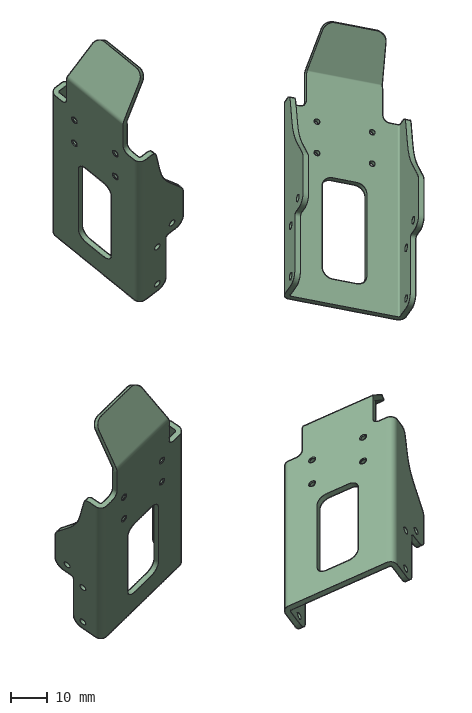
import cadquery as cq
import math

width = 35.0
flange_depth = 16.5
overall_height = 84.5
shoulder_height = 61.0
thickness = 1.6
inner_bend = 0.5
outer_bend = inner_bend + thickness

lower_depth = 10.0
step_height = 21.1
peak_height = 36.1
waist_depth = 8.6
waist_height = 46.6
shoulder_depth = 6.0
corner_radius = 3.0
step_radius = 1.0
peak_radius = 4.0
waist_radius = 20.0
shoulder_radius = 2.0
flange_hole_diameter = 2.0
flange_holes = [(6.7, 3.0), (6.7, 19.1), (12.25, 24.7)]

tab_width = 22.1
tab_root_radius = 2.0
bend_start = 72.2
bend_angle = 40.0
pad_tip_width = 17.6
pad_corner_radius = 3.0

window_width = 12.85
window_bottom = 8.0
window_height = 32.1
plate_hole_spacing = 16.0
plate_hole_heights = (47.1, 57.0)
plate_hole_diameter = 1.6
countersink_diameter = 2.1
countersink_angle = 90.0

bend_sine = math.sin(math.radians(bend_angle))
bend_cosine = math.cos(math.radians(bend_angle))
pad_start = bend_start + outer_bend * bend_sine
pad_length = (overall_height - pad_start) / bend_cosine


def rounded_corner(body, y, z, radius):
    """Round the corner running along X through the point (y, z)."""
    margin = 0.01
    box = cq.selectors.BoxSelector((-width, y - margin, z - margin), (width, y + margin, z + margin))
    return body.edges(box).fillet(radius)


def make_channel():
    """U-shaped bent sheet, trimmed to the flange outline."""
    outer = cq.Workplane("XY").rect(width, 2 * flange_depth).extrude(shoulder_height)
    outer = outer.translate((0, flange_depth, 0)).edges("|Z and <Y").fillet(outer_bend)
    inner = (
        cq.Workplane("XY")
        .rect(width - 2 * thickness, 2 * flange_depth)
        .extrude(shoulder_height)
        .translate((0, flange_depth + thickness, 0))
        .edges("|Z and <Y")
        .fillet(inner_bend)
    )
    outline = [
        (0, 0),
        (lower_depth, 0),
        (lower_depth, step_height),
        (flange_depth, step_height),
        (flange_depth, peak_height),
        (waist_depth, waist_height),
        (shoulder_depth, shoulder_height),
        (0, shoulder_height),
    ]
    side = cq.Workplane("YZ").polyline(outline).close().extrude(width / 2, both=True)
    radii = (corner_radius, step_radius, corner_radius, peak_radius, waist_radius, shoulder_radius)
    for (y, z), radius in zip(outline[1:-1], radii):
        side = rounded_corner(side, y, z, radius)
    return outer.cut(inner).intersect(side)


def make_tab():
    """Upright tab with a tapered pad bent back towards +Y."""

    def bend_point(radius, angle):
        turn = math.radians(angle)
        return outer_bend - radius * math.cos(turn), bend_start + radius * math.sin(turn)

    outer_end = bend_point(outer_bend, bend_angle)
    inner_end = bend_point(inner_bend, bend_angle)
    rise = (pad_length * bend_sine, pad_length * bend_cosine)
    sheet = (
        cq.Workplane("YZ")
        .moveTo(0, shoulder_height)
        .lineTo(0, bend_start)
        .threePointArc(bend_point(outer_bend, bend_angle / 2), outer_end)
        .lineTo(outer_end[0] + rise[0], outer_end[1] + rise[1])
        .lineTo(inner_end[0] + rise[0], inner_end[1] + rise[1])
        .lineTo(*inner_end)
        .threePointArc(bend_point(inner_bend, bend_angle / 2), (thickness, bend_start))
        .lineTo(thickness, shoulder_height)
        .close()
        .extrude(tab_width / 2, both=True)
    )

    pad_plane = cq.Plane(
        origin=(0, *outer_end), xDir=(1, 0, 0), normal=(0, -bend_cosine, bend_sine)
    )
    taper_start = -outer_bend * bend_sine
    trim = (
        cq.Workplane(pad_plane)
        .moveTo(-tab_width / 2, -shoulder_height)
        .lineTo(-tab_width / 2, taper_start)
        .lineTo(-pad_tip_width / 2, pad_length)
        .lineTo(pad_tip_width / 2, pad_length)
        .lineTo(tab_width / 2, taper_start)
        .lineTo(tab_width / 2, -shoulder_height)
        .close()
        .extrude(overall_height, both=True)
    )
    tip_edges = cq.selectors.ParallelDirSelector(pad_plane.zDir)
    trim = trim.edges(tip_edges).edges(">Z").fillet(pad_corner_radius)
    return sheet.intersect(trim)


def make_tab_root(side):
    """Concave fillet between the tab and the plate's shoulder, on side -1 or +1."""
    edge = side * tab_width / 2
    middle = tab_root_radius * (1 - math.sqrt(0.5))
    return (
        cq.Workplane("XZ")
        .moveTo(edge, shoulder_height)
        .lineTo(edge + side * tab_root_radius, shoulder_height)
        .threePointArc(
            (edge + side * middle, shoulder_height + middle),
            (edge, shoulder_height + tab_root_radius),
        )
        .close()
        .extrude(-thickness)
    )


def cut_window(body):
    window = (
        cq.Workplane("XZ")
        .center(0, window_bottom + window_height / 2)
        .rect(window_width, window_height)
        .extrude(-thickness)
        .edges("|Y")
        .fillet(corner_radius)
    )
    return body.cut(window)


def cut_plate_holes(body):
    """Four holes countersunk from the front face of the plate."""
    x = plate_hole_spacing / 2
    centers = [(side * x, z) for side in (-1, 1) for z in plate_hole_heights]
    front = cq.Workplane("XZ").add(body.val())
    return front.pushPoints(centers).cskHole(
        plate_hole_diameter, countersink_diameter, countersink_angle, depth=outer_bend
    )


def cut_flange_holes(body):
    holes = (
        cq.Workplane("YZ")
        .pushPoints(flange_holes)
        .circle(flange_hole_diameter / 2)
        .extrude(width, both=True)
    )
    return body.cut(holes)


result = make_channel().union(make_tab())
for tab_side in (-1, 1):
    result = result.union(make_tab_root(tab_side))
result = cut_window(result)
result = cut_plate_holes(result)
result = cut_flange_holes(result)